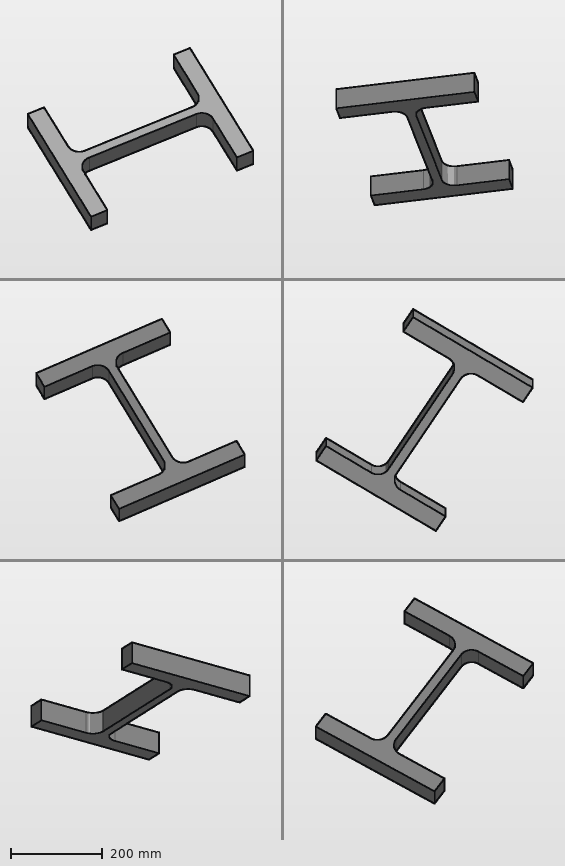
import cadquery as cq

flange_width = 308.0
section_height = 395.0
beam_length = 50.0
flange_thickness = 40.0
web_thickness = 21.0
root_radius = 27.0

clear_height = section_height - 2 * flange_thickness
flange_offset = (section_height - flange_thickness) / 2


def make_flange(center_y):
    """Rectangular flange centred on the web, at the given Y position."""
    return (
        cq.Workplane("XY")
        .center(0, center_y)
        .rect(flange_width, flange_thickness)
        .extrude(beam_length)
    )


def make_web():
    """Plate that spans the gap between the two flanges."""
    return cq.Workplane("XY").rect(web_thickness, clear_height).extrude(beam_length)


def round_roots(beam):
    """Fillet the four inner corners where the web meets the flanges."""
    root_corners = cq.selectors.BoxSelector(
        (-web_thickness, -flange_offset, 0),
        (web_thickness, flange_offset, beam_length),
    )
    return beam.edges("|Z").edges(root_corners).fillet(root_radius)


beam = make_web()
for side in (-1, 1):
    beam = beam.union(make_flange(side * flange_offset))

result = round_roots(beam)